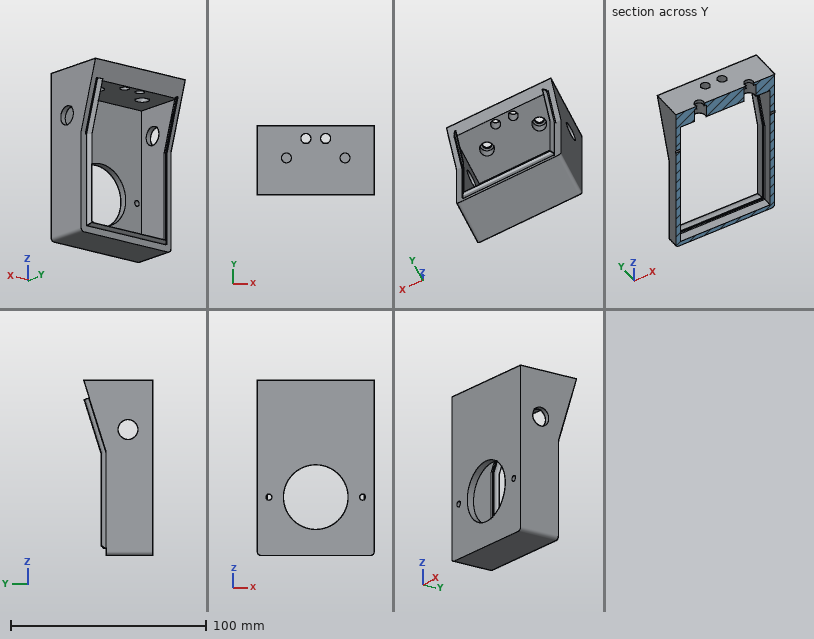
import cadquery as cq
import math

WIDTH = 60.0
HEIGHT = 90.0
BODY_DEPTH = 24.0
TOP_DEPTH = 35.55
KINK_HEIGHT = 53.5
BOTTOM_ROUND = 2.0

SIDE_WALL = 3.0
FRONT_WALL = 4.0
ROOF_WALL = 10.0

OPENING_DIAMETER = 33.0
OPENING_HEIGHT = 30.0
SCREW_DIAMETER = 3.0
SCREW_OFFSET = 24.0

CABLE_DIAMETER = 10.1
CABLE_DEPTH = 12.8
CABLE_HEIGHT = 64.6

ROOF_HOLE_DIAMETER = 5.0
FRONT_PAIR_OFFSET = 15.0
FRONT_PAIR_DEPTH = 19.0
REAR_PAIR_OFFSET = 5.0
REAR_PAIR_DEPTH = 29.0
COUNTERBORE_DIAMETER = 7.5
COUNTERBORE_ROOF = 2.0

LIP_INSET = 0.6
LIP_THICKNESS = 0.4
LIP_NECK = 1.2
LIP_ROOT = 0.8
LIP_ROOT_CHAMFER = 0.45
LIP_OUTER_RADIUS = 0.5
LIP_INNER_RADIUS = 2.0
LIP_TIP_FLAT = 1.0
LIP_KINK_DROP = 0.9
LIP_END_HEIGHT = 80.7

LEAN = (TOP_DEPTH - BODY_DEPTH) / (HEIGHT - KINK_HEIGHT)
BEND_ANGLE = math.radians(45)


def back_depth(height):
    """Depth of the leaning back face at a given height."""
    return BODY_DEPTH + LEAN * (height - KINK_HEIGHT)


def side_prism(points, width):
    """Extrude a (Y, Z) outline symmetrically about X = 0."""
    return cq.Workplane("YZ").polyline(points).close().extrude(width / 2, both=True)


def make_body():
    outline = [
        (0, 0),
        (BODY_DEPTH, 0),
        (BODY_DEPTH, KINK_HEIGHT),
        (TOP_DEPTH, HEIGHT),
        (0, HEIGHT),
    ]
    return side_prism(outline, WIDTH).edges("|Y and <Z").fillet(BOTTOM_ROUND)


def make_cavity():
    """Room behind the front wall, open at the back."""
    ceiling = HEIGHT - ROOF_WALL
    outline = [
        (FRONT_WALL, SIDE_WALL),
        (BODY_DEPTH, SIDE_WALL),
        (BODY_DEPTH, KINK_HEIGHT),
        (back_depth(ceiling), ceiling),
        (FRONT_WALL, ceiling),
    ]
    return side_prism(outline, WIDTH - 2 * SIDE_WALL)


def bend_point(start_x, start_y, radius, angle):
    """Point on an arc that leaves (start_x, start_y) along +Y and turns towards +X."""
    return (
        start_x + radius * (1 - math.cos(angle)),
        start_y + radius * math.sin(angle),
    )


def make_lip():
    """Sweep the lip section down one side, along the floor and up the other side."""
    edge_x = WIDTH / 2 - SIDE_WALL
    kink_height = KINK_HEIGHT - LIP_KINK_DROP
    end_depth = back_depth(LIP_END_HEIGHT + LIP_KINK_DROP)
    path = cq.Workplane("XY").polyline([
        (edge_x, end_depth, LIP_END_HEIGHT),
        (edge_x, BODY_DEPTH, kink_height),
        (edge_x, BODY_DEPTH, SIDE_WALL),
        (-edge_x, BODY_DEPTH, SIDE_WALL),
        (-edge_x, BODY_DEPTH, kink_height),
        (-edge_x, end_depth, LIP_END_HEIGHT),
    ])

    inside = LIP_INSET + LIP_THICKNESS
    half_tangent = math.tan(BEND_ANGLE / 2)
    inner_start = LIP_NECK - (LIP_INNER_RADIUS + LIP_THICKNESS) * half_tangent
    outer_start = LIP_NECK - LIP_OUTER_RADIUS * half_tangent
    inner_middle = bend_point(inside, inner_start, LIP_INNER_RADIUS, BEND_ANGLE / 2)
    inner_end = bend_point(inside, inner_start, LIP_INNER_RADIUS, BEND_ANGLE)
    outer_middle = bend_point(LIP_INSET, outer_start, LIP_OUTER_RADIUS, BEND_ANGLE / 2)
    outer_end = bend_point(LIP_INSET, outer_start, LIP_OUTER_RADIUS, BEND_ANGLE)

    along_x = math.sin(BEND_ANGLE)
    along_y = math.cos(BEND_ANGLE)
    tip_inside = (inner_end[0] + LIP_TIP_FLAT * along_x, inner_end[1] + LIP_TIP_FLAT * along_y)
    tip_outside = (tip_inside[0] - LIP_THICKNESS * along_y, tip_inside[1] + LIP_THICKNESS * along_x)

    start_plane = cq.Plane(
        origin=(edge_x, end_depth, LIP_END_HEIGHT),
        xDir=(-1, 0, 0),
        normal=(0, -LEAN, -1),
    )
    section = (
        cq.Workplane(start_plane)
        .moveTo(0, -LIP_ROOT - LIP_ROOT_CHAMFER)
        .lineTo(LIP_ROOT_CHAMFER, -LIP_ROOT)
        .lineTo(inside, -LIP_ROOT)
        .lineTo(inside, inner_start)
        .threePointArc(inner_middle, inner_end)
        .lineTo(*tip_inside)
        .lineTo(*tip_outside)
        .lineTo(*outer_end)
        .threePointArc(outer_middle, (LIP_INSET, outer_start))
        .lineTo(LIP_INSET, 0)
        .lineTo(0, 0)
        .close()
    )
    return section.sweep(path, transition="right")


def front_cutter(x, diameter):
    """Pin through the front wall at the height of the large opening."""
    return (
        cq.Workplane("XZ")
        .center(x, OPENING_HEIGHT)
        .circle(diameter / 2)
        .extrude(-FRONT_WALL)
    )


def roof_cutter(x, y, diameter, top):
    """Upright pin from the given height down through the roof."""
    bottom = HEIGHT - ROOF_WALL
    return (
        cq.Workplane("XY", origin=(x, y, bottom))
        .circle(diameter / 2)
        .extrude(top - bottom)
    )


result = make_body().cut(make_cavity()).union(make_lip())

result = result.cut(front_cutter(0, OPENING_DIAMETER))
for side in (-1, 1):
    result = result.cut(front_cutter(side * SCREW_OFFSET, SCREW_DIAMETER))

cable_hole = (
    cq.Workplane("YZ")
    .center(CABLE_DEPTH, CABLE_HEIGHT)
    .circle(CABLE_DIAMETER / 2)
    .extrude(WIDTH / 2, both=True)
)
result = result.cut(cable_hole)

counterbore_top = HEIGHT - COUNTERBORE_ROOF
for side in (-1, 1):
    front_x = side * FRONT_PAIR_OFFSET
    result = result.cut(roof_cutter(front_x, FRONT_PAIR_DEPTH, ROOF_HOLE_DIAMETER, HEIGHT))
    result = result.cut(roof_cutter(front_x, FRONT_PAIR_DEPTH, COUNTERBORE_DIAMETER, counterbore_top))
    result = result.cut(roof_cutter(side * REAR_PAIR_OFFSET, REAR_PAIR_DEPTH, ROOF_HOLE_DIAMETER, HEIGHT))